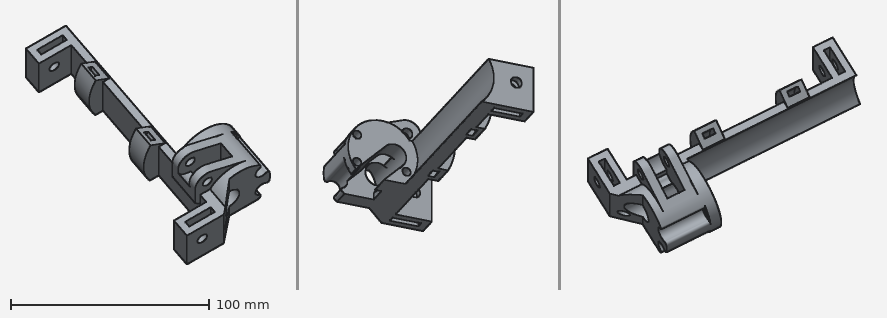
import cadquery as cq
import math

LENGTH = 141.5
HEIGHT = 25.2
WALL_FRONT = 20.0
WALL_BACK = 28.9
FLANGE_WIDTH = 11.5
FLANGE_SLOT_WIDTH = 3.5
FLANGE_SLOT_START = 4.2
FLANGE_HOLE_Y = 9.5
FLANGE_HOLE_RADIUS = 3.0

DRUM_Y = 41.5
DRUM_Z = 14.9
DRUM_RADIUS = 18.5
DRUM_START = 97.6
DRUM_END = 129.2
CRADLE_RADIUS = 19.7
CORNER_CUT_FRONT = 22.8
CORNER_CUT_BACK = 34.8
BORE_Y = 34.5
BORE_RADIUS = 6.5
SLOT_TILT = -45

SCREW_OFFSET_Y = 13.6
SCREW_OFFSET_Z = 7.8
SCREW_RADIUS = 2.3
HEAD_RADIUS = 4.1
HEAD_LIP_RADIUS = 1.4
PLATE_THICKNESS = 6.1
SEAM_CLEARANCE = 0.1

LUG_START = 104.5
LUG_WIDTH = 20.1
LUG_GAP = 9.9
LUG_RADIUS = 7.5
PIVOT_Y = 24.5
PIVOT_Z = 33.0
PIVOT_RADIUS = 2.8
PIVOT_CLEARANCE_RADIUS = 8.3
LUG_CHAMFER_TOP = 20.2

WINDOW_FRONT = 24.8
WINDOW_BACK = 43.3
WINDOW_FLOOR = 20.4
WINDOW_LIP_RADIUS = 2.8
GROOVE_Y = 28.7
GROOVE_Z = 22.8
GROOVE_RADIUS = 3.3
BORE_OPENING_FRONT = 31.3
FLOOR_OPENING_FRONT = 36.5

GUIDE_WIDTH = 12.7
GUIDE_STARTS_AND_RADII = [(26.6, 30.1), (75.5, 30.8)]
GUIDE_TOP_ANGLE = 30.5
CHANNEL_WIDTH = 6.2
CHANNEL_INNER_RADIUS = 24.9
CHANNEL_OUTER_RADIUS = 27.7

RECESS_START = DRUM_START + PLATE_THICKNESS
GAP_START = LUG_START + (LUG_WIDTH - LUG_GAP) / 2
GAP_END = GAP_START + LUG_GAP
SCREW_BACK_Y = DRUM_Y + SCREW_OFFSET_Y
SCREW_FRONT_Y = DRUM_Y - SCREW_OFFSET_Y
SCREW_HIGH_Z = DRUM_Z + SCREW_OFFSET_Z
SCREW_LOW_Z = DRUM_Z - SCREW_OFFSET_Z
TALL = 2 * LENGTH


def box(x0, x1, y0, y1, z0, z1):
    """Box between two opposite corners."""
    return cq.Workplane("XY").box(x1 - x0, y1 - y0, z1 - z0, centered=False).translate((x0, y0, z0))


def rod(x0, x1, y, z, radius):
    """Cylinder along X."""
    return cq.Workplane("YZ", origin=(x0, y, z)).circle(radius).extrude(x1 - x0)


def prism(x0, x1, points):
    """Closed (Y, Z) outline extruded along X."""
    return cq.Workplane("YZ", origin=(x0, 0, 0)).polyline(points).close().extrude(x1 - x0)


def rail():
    """Wall with a hollow back for the cradle, and a slotted flange at each end."""
    body = box(0, LENGTH, WALL_FRONT, WALL_BACK, 0, HEIGHT)
    body = body.cut(rod(0, DRUM_START, DRUM_Y, DRUM_Z, CRADLE_RADIUS))
    for start in (0, LENGTH - FLANGE_WIDTH):
        slot_start = start + (FLANGE_WIDTH - FLANGE_SLOT_WIDTH) / 2
        slot_end = slot_start + FLANGE_SLOT_WIDTH
        body = body.union(box(start, start + FLANGE_WIDTH, 0, WALL_FRONT, 0, HEIGHT))
        body = body.cut(box(slot_start, slot_end, FLANGE_SLOT_START, WALL_FRONT, 0, HEIGHT))
    return body.cut(rod(0, LENGTH, FLANGE_HOLE_Y, DRUM_Z, FLANGE_HOLE_RADIUS))


def strap_guide(start, radius):
    """Round-fronted block on the wall, with a sloping top."""
    top_slope = math.tan(math.radians(GUIDE_TOP_ANGLE))
    front = DRUM_Y - radius
    sector = prism(
        start,
        start + GUIDE_WIDTH,
        [
            (DRUM_Y - CRADLE_RADIUS, 0),
            (WALL_BACK, 0),
            (WALL_BACK, DRUM_Z + top_slope * (DRUM_Y - WALL_BACK)),
            (front, DRUM_Z + top_slope * radius),
            (front, 0),
        ],
    )
    ring = rod(start, start + GUIDE_WIDTH, DRUM_Y, DRUM_Z, radius)
    ring = ring.cut(rod(start, start + GUIDE_WIDTH, DRUM_Y, DRUM_Z, CRADLE_RADIUS))
    return sector.intersect(ring)


def strap_channel(start):
    """Curved slot that follows the front of a strap guide."""
    channel_start = start + (GUIDE_WIDTH - CHANNEL_WIDTH) / 2
    channel_end = channel_start + CHANNEL_WIDTH
    channel = rod(channel_start, channel_end, DRUM_Y, DRUM_Z, CHANNEL_OUTER_RADIUS)
    channel = channel.cut(rod(channel_start, channel_end, DRUM_Y, DRUM_Z, CHANNEL_INNER_RADIUS))
    return channel.intersect(box(0, LENGTH, 0, WALL_BACK, 0, TALL))


def drum():
    """Flat-bottomed drum with rounded screw head recesses, joined to the wall by a foot."""
    plate = rod(DRUM_START, RECESS_START, DRUM_Y, DRUM_Z, DRUM_RADIUS)
    barrel = rod(RECESS_START, LENGTH, DRUM_Y, DRUM_Z, DRUM_RADIUS)
    for z in (SCREW_HIGH_Z, SCREW_LOW_Z):
        barrel = barrel.cut(rod(RECESS_START, LENGTH, SCREW_BACK_Y, z, HEAD_RADIUS))
    mouth_edges = cq.selectors.BoxSelector(
        (RECESS_START, SCREW_BACK_Y, 0),
        (LENGTH, DRUM_Y + DRUM_RADIUS - SEAM_CLEARANCE, TALL),
    )
    barrel = barrel.edges("|X").edges(mouth_edges).fillet(HEAD_LIP_RADIUS)
    foot = box(DRUM_START, LENGTH, WALL_FRONT, BORE_Y, 0, DRUM_Z)
    return plate.union(barrel).union(foot).intersect(box(0, LENGTH, 0, TALL, 0, TALL))


def corner_cut():
    """Everything behind the slanted right end of the drum."""
    outline = [
        (LENGTH, CORNER_CUT_FRONT),
        (DRUM_END, CORNER_CUT_BACK),
        (DRUM_END, LENGTH),
        (LENGTH, LENGTH),
    ]
    return cq.Workplane("XY").polyline(outline).close().extrude(TALL)


def tangent_points():
    """Ends of the line that touches the tops of the drum and the lug."""
    run = DRUM_Y - PIVOT_Y
    rise = PIVOT_Z - DRUM_Z
    center_angle = math.atan2(rise, run)
    normal_angle = center_angle + math.acos((DRUM_RADIUS - LUG_RADIUS) / math.hypot(run, rise))
    normal_y = -math.cos(normal_angle)
    normal_z = math.sin(normal_angle)
    drum_point = (DRUM_Y + DRUM_RADIUS * normal_y, DRUM_Z + DRUM_RADIUS * normal_z)
    lug_point = (PIVOT_Y + LUG_RADIUS * normal_y, PIVOT_Z + LUG_RADIUS * normal_z)
    return drum_point, lug_point


def lugs():
    """Hinge block with a round nose, standing on the drum and hanging over the wall."""
    drum_point, lug_point = tangent_points()
    front = PIVOT_Y - LUG_RADIUS
    block = prism(
        LUG_START,
        LUG_START + LUG_WIDTH,
        [
            drum_point,
            lug_point,
            (PIVOT_Y, PIVOT_Z),
            (front, PIVOT_Z),
            (front, LUG_CHAMFER_TOP),
            (WALL_FRONT, LUG_CHAMFER_TOP - (WALL_FRONT - front)),
            (DRUM_Y, DRUM_Z),
        ],
    )
    return block.union(rod(LUG_START, LUG_START + LUG_WIDTH, PIVOT_Y, PIVOT_Z, LUG_RADIUS))


def lug_gap():
    """Room between the lugs: drum window with a lipped groove, pivot clearance and floor opening."""
    gap = box(GAP_START, GAP_END, WINDOW_FRONT, WINDOW_BACK, WINDOW_FLOOR, TALL)
    gap = gap.union(rod(GAP_START, GAP_END, GROOVE_Y, GROOVE_Z, GROOVE_RADIUS))
    lip_y = GROOVE_Y - math.sqrt(GROOVE_RADIUS**2 - (GROOVE_Z - WINDOW_FLOOR) ** 2)
    lip_point = ((GAP_START + GAP_END) / 2, lip_y, WINDOW_FLOOR)
    gap = gap.edges(cq.selectors.NearestToPointSelector(lip_point)).fillet(WINDOW_LIP_RADIUS)
    gap = gap.union(rod(GAP_START, GAP_END, PIVOT_Y, PIVOT_Z, PIVOT_CLEARANCE_RADIUS))
    gap = gap.union(box(GAP_START, GAP_END, BORE_OPENING_FRONT, WINDOW_BACK, DRUM_Z, TALL))
    return gap.union(box(GAP_START, GAP_END, FLOOR_OPENING_FRONT, WINDOW_BACK, 0, TALL))


def drum_slot():
    """Slot from the bore down and back, ending at the far side of the lug gap."""
    slot = box(DRUM_START, GAP_END, 0, LENGTH, -BORE_RADIUS, BORE_RADIUS)
    slot = slot.rotate((0, 0, 0), (1, 0, 0), SLOT_TILT)
    return slot.translate((0, BORE_Y, DRUM_Z))


result = rail().union(drum()).union(lugs())
for guide_start, guide_radius in GUIDE_STARTS_AND_RADII:
    result = result.union(strap_guide(guide_start, guide_radius)).cut(strap_channel(guide_start))
result = result.cut(corner_cut()).cut(lug_gap()).cut(drum_slot())
result = result.cut(rod(DRUM_START, LENGTH, BORE_Y, DRUM_Z, BORE_RADIUS))
for screw_y, screw_z in (
    (SCREW_BACK_Y, SCREW_HIGH_Z),
    (SCREW_BACK_Y, SCREW_LOW_Z),
    (SCREW_FRONT_Y, SCREW_LOW_Z),
):
    result = result.cut(rod(DRUM_START, LENGTH, screw_y, screw_z, SCREW_RADIUS))
result = result.cut(rod(LUG_START, LUG_START + LUG_WIDTH, PIVOT_Y, PIVOT_Z, PIVOT_RADIUS))